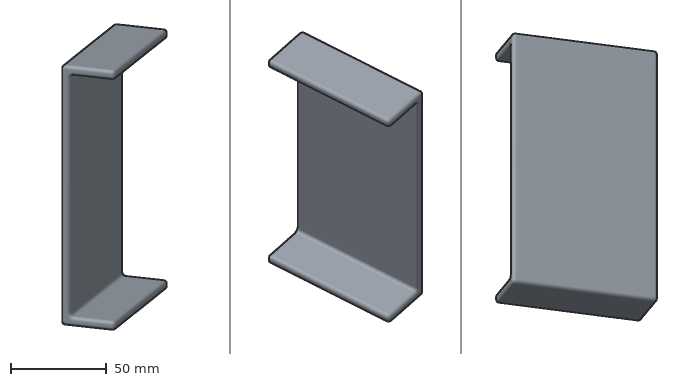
import cadquery as cq

length_x = 30.0
width_y = 80.0
height_z = 142.5

wall = 5.0
edge_radius = 2.0

inner_height = height_z - 2 * wall


def make_block():
    """Solid block filling the outer size, centred on the origin."""
    return cq.Workplane("XY").box(length_x, width_y, height_z)


def make_opening():
    """Space between the two flanges, open towards +X and both Y ends."""
    return (
        cq.Workplane("XY")
        .box(length_x, width_y, inner_height)
        .translate((wall, 0, 0))
    )


def round_edges(body):
    """Round every edge, inside corners included."""
    return body.edges().fillet(edge_radius)


result = round_edges(make_block().cut(make_opening()))